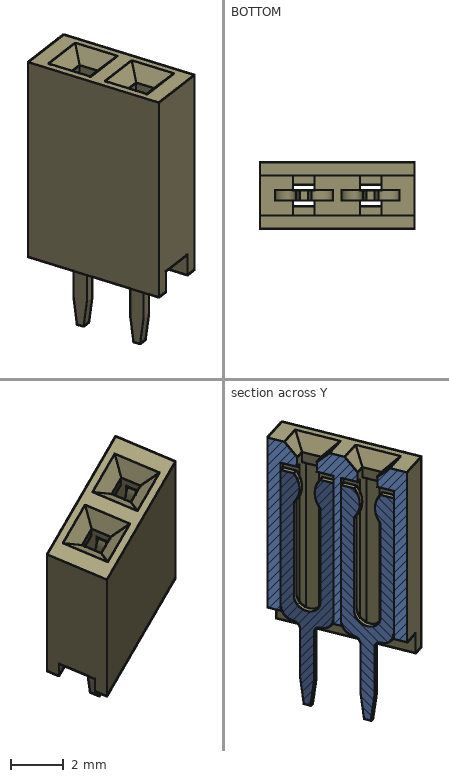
import cadquery as cq
import math

pitch = 2.54
contact_count = 2
housing_length = 5.88
housing_width = pitch
housing_height = 8.5
foot_thickness = housing_width / 5
foot_height = 0.9
foot_gap = housing_width - 2 * foot_thickness

funnel_mouth = 1.9
funnel_depth = 0.55
throat_size = 0.81
throat_length = 0.45
throat_top = housing_height - funnel_depth
throat_bottom = throat_top - throat_length

contact_thickness = 0.4
tail_length = 3.0
stem_width = 0.6
tip_width = 0.3
tip_height = 1.13
neck_drop = 0.6
neck_radius = 0.3
shoulder_radius = 0.5
fork_slot_radius = 0.55
pinch_half_gap = 0.31
pinch_radius = 1.0
fork_web = 0.6
tine_clearance = 0.3

neck_start = foot_height - neck_drop
shoulder_bottom = neck_start + neck_radius
shoulder_side_start = shoulder_bottom + shoulder_radius
fork_half_width = stem_width / 2 + neck_radius + shoulder_radius
fork_slot_bottom = shoulder_bottom + fork_web
fork_slot_center = fork_slot_bottom + fork_slot_radius
tine_top = throat_bottom - tine_clearance

pinch_rise = fork_slot_radius - pinch_half_gap
pinch_half_height = math.sqrt(pinch_radius**2 - (pinch_radius - pinch_rise)**2)
pinch_center = tine_top - pinch_half_height
pinch_start = pinch_center - pinch_half_height

contact_positions = [(i - (contact_count - 1) / 2) * pitch for i in range(contact_count)]


def upright_block(x, length, width, bottom, top):
    """Box centred on (x, 0), from height bottom to height top."""
    block = cq.Workplane("XY", origin=(x, 0, bottom))
    return block.box(length, width, top - bottom, centered=(True, True, False))


def make_funnel(x):
    """Square lead-in that narrows from the top face to the throat."""
    return (
        cq.Workplane("XY", origin=(x, 0, housing_height))
        .rect(funnel_mouth, funnel_mouth)
        .workplane(offset=-funnel_depth)
        .rect(throat_size, throat_size)
        .loft(ruled=True)
    )


def make_housing():
    body = upright_block(0, housing_length, housing_width, 0, housing_height)

    body = body.cut(upright_block(0, housing_length, foot_gap, 0, foot_height))

    for x in contact_positions:
        body = body.cut(make_funnel(x))
        body = body.cut(upright_block(x, throat_size, throat_size, throat_bottom, throat_top))
        body = body.cut(upright_block(x, throat_size, foot_gap, foot_height, throat_bottom))
        body = body.cut(
            upright_block(x, 2 * fork_half_width, contact_thickness, foot_height, throat_bottom)
        )
    return body


def make_contact(x):
    """Flat fork contact: pointed tail, stem and two tines."""
    half_stem = stem_width / 2
    half_tip = tip_width / 2
    tip_start = -tail_length + tip_height
    neck_end = half_stem + neck_radius

    outline = (
        cq.Workplane("XZ", origin=(x, contact_thickness / 2, 0))
        .moveTo(half_tip, -tail_length)
        .lineTo(half_stem, tip_start)
        .lineTo(half_stem, neck_start)
        .radiusArc((neck_end, shoulder_bottom), neck_radius)
        .radiusArc((fork_half_width, shoulder_side_start), -shoulder_radius)
        .lineTo(fork_half_width, tine_top)
        .lineTo(fork_slot_radius, tine_top)
        .threePointArc((pinch_half_gap, pinch_center), (fork_slot_radius, pinch_start))
        .lineTo(fork_slot_radius, fork_slot_center)
        .threePointArc((0, fork_slot_bottom), (-fork_slot_radius, fork_slot_center))
        .lineTo(-fork_slot_radius, pinch_start)
        .threePointArc((-pinch_half_gap, pinch_center), (-fork_slot_radius, tine_top))
        .lineTo(-fork_half_width, tine_top)
        .lineTo(-fork_half_width, shoulder_side_start)
        .radiusArc((-neck_end, shoulder_bottom), -shoulder_radius)
        .radiusArc((-half_stem, neck_start), neck_radius)
        .lineTo(-half_stem, tip_start)
        .lineTo(-half_tip, -tail_length)
        .close()
    )
    return outline.extrude(contact_thickness)


housing = make_housing()
contacts = [make_contact(x) for x in contact_positions]

result = cq.Compound.makeCompound([housing.val(), *[contact.val() for contact in contacts]])